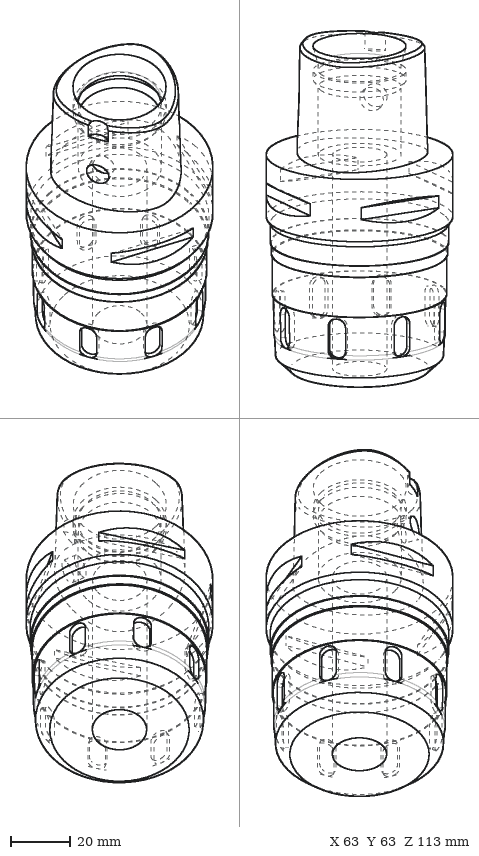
import cadquery as cq
import math

total_height = 113.0
flange_top = 75.0
shank_height = total_height - flange_top

flange_radius = 31.5
flange_bottom = 53.2
collar_radius = 30.2
collar_top = 51.1
collar_bottom = 44.3
band_radius = 29.8
band_bottom = 40.3
sleeve_radius = 29.5
sleeve_step = 0.2
sleeve_bottom = 26.1
nut_top_radius = 29.2
nut_low_radius = 29.0
nut_low = 12.7
nose_top_radius = 28.7
nose_top = 11.1
nose_low_radius = 28.4
nose_low = 4.6
end_radius = 23.5

shank_mean_radius = 22.0
lobe_height = 1.4
lobe_curve_points = 72
taper_per_length = 1 / 20
rim_inset = 1.0
rim_height = 1.4

mouth_radius = 15.7
bore_radius = 14.0
mouth_depth = 6.4
groove_top_depth = 8.5
groove_radius = 15.7
groove_cone_depth = 11.6
groove_bottom_depth = 14.1
bore_depth = shank_height
through_radius = 9.2

notch_radius = 4.3
notch_depth = 6.4
notch_inner_y = -17.6

side_hole_radius = 4.1
side_hole_z = 90.4
side_hole_floor_y = -15.3

gripper_count = 4
gripper_floor = 27.7
gripper_z = 63.0
gripper_floor_height = 4.2
gripper_flare = 1.8
gripper_first_angle = 45

slot_count = 8
slot_width = 6.1
slot_bottom = nose_top
slot_top = 25.2
slot_floor = 27.0


def revolve_profile(points):
    """Revolve (radius, z) points about Z, starting on the -Y side."""
    outline = [(-radius, z) for radius, z in points]
    return cq.Workplane("YZ").polyline(outline).close().revolve(360, (0, 0), (0, 1))


def lobed_wire(mean_radius, z):
    """Three-lobed curve of constant width, one lobe pointing to +Y.

    Its tangent at each angle lies mean_radius + lobe_height * cos(3 * angle) from the axis,
    so a change of mean_radius gives a parallel curve.
    """

    def point(angle):
        x = mean_radius * math.sin(angle) - lobe_height * (2 * math.sin(2 * angle) + math.sin(4 * angle))
        y = mean_radius * math.cos(angle) + lobe_height * (2 * math.cos(2 * angle) - math.cos(4 * angle))
        return cq.Vector(x, y, z)

    angles = [math.pi + 2 * math.pi * i / lobe_curve_points for i in range(lobe_curve_points)]
    edge = cq.Edge.makeSpline([point(angle) for angle in angles], periodic=True)
    return cq.Wire.assembleEdges([edge])


def shank():
    rim_z = total_height - rim_height
    rim_radius = shank_mean_radius - (rim_z - flange_top) * taper_per_length / 2
    sections = [
        (shank_mean_radius, flange_top),
        (rim_radius, rim_z),
        (rim_radius - rim_inset, total_height),
    ]
    wires = [lobed_wire(radius, z) for radius, z in sections]
    return cq.Workplane(obj=cq.Solid.makeLoft(wires, True))


def body():
    return revolve_profile([
        (0, 0),
        (end_radius, 0),
        (nose_low_radius, nose_low),
        (nose_top_radius, nose_top),
        (nut_low_radius, nut_low),
        (nut_top_radius, sleeve_bottom),
        (sleeve_radius, sleeve_bottom),
        (sleeve_radius, band_bottom - sleeve_step),
        (band_radius, band_bottom),
        (band_radius, collar_bottom),
        (collar_radius, collar_bottom),
        (collar_radius, collar_top),
        (flange_radius, flange_bottom),
        (flange_radius, flange_top),
        (0, flange_top),
    ])


def bore():
    return revolve_profile([
        (0, total_height),
        (mouth_radius, total_height),
        (bore_radius, total_height - mouth_depth),
        (bore_radius, total_height - groove_top_depth),
        (groove_radius, total_height - groove_top_depth),
        (groove_radius, total_height - groove_cone_depth),
        (bore_radius, total_height - groove_bottom_depth),
        (bore_radius, total_height - bore_depth),
        (through_radius, total_height - bore_depth),
        (through_radius, 0),
        (0, 0),
    ])


def rim_notch():
    return (
        cq.Workplane("XY", origin=(0, notch_inner_y - notch_radius, total_height - notch_depth))
        .circle(notch_radius)
        .extrude(notch_depth)
    )


def side_hole():
    return (
        cq.Workplane("XZ", origin=(0, side_hole_floor_y, side_hole_z))
        .circle(side_hole_radius)
        .extrude(flange_radius)
    )


def gripper_groove():
    """Flat-floored groove with flared sides, lying across the +X side."""
    half_floor = gripper_floor_height / 2
    half_mouth = half_floor + gripper_flare
    return (
        cq.Workplane("XZ", origin=(0, 0, gripper_z))
        .polyline([
            (gripper_floor, -half_floor),
            (flange_radius, -half_mouth),
            (flange_radius, half_mouth),
            (gripper_floor, half_floor),
        ])
        .close()
        .extrude(flange_radius, both=True)
    )


def spanner_slot():
    """Flat-floored slot with round ends, cut into the +X side."""
    return (
        cq.Workplane("YZ", origin=(slot_floor, 0, (slot_bottom + slot_top) / 2))
        .slot2D(slot_top - slot_bottom, slot_width, 90)
        .extrude(flange_radius - slot_floor)
    )


def spread(cutter, count, first_angle=0):
    """Copies of a cutter evenly spaced about Z."""
    angles = [first_angle + i * 360 / count for i in range(count)]
    return [cutter.rotate((0, 0, 0), (0, 0, 1), angle) for angle in angles]


result = body().union(shank())
cutters = [bore(), rim_notch(), side_hole()]
cutters += spread(gripper_groove(), gripper_count, gripper_first_angle)
cutters += spread(spanner_slot(), slot_count)
for cutter in cutters:
    result = result.cut(cutter)